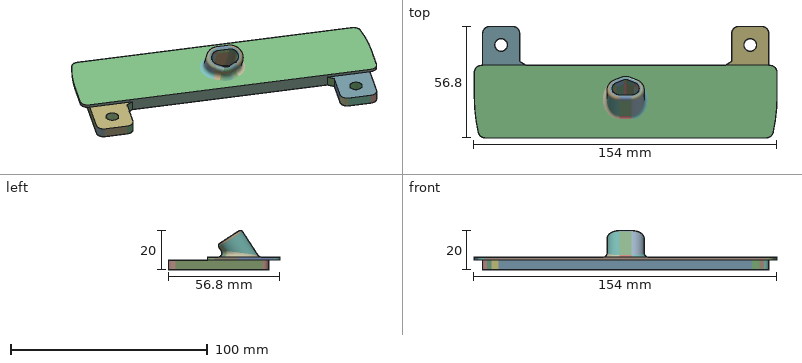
import cadquery as cq
import math

plate_length = 154.0
plate_depth = 37.0
plate_thickness = 1.5
plate_corner_radius = 3.75
side_curve_start = 21.0
side_curve_radius = 83.0

base_length = 145.6
base_thickness = 5.0
base_front_y = 5.5
end_step = 0.5
end_step_start = 8.4
end_step_stop = 4.7
base_corner_radius = 2.5
tab_width = 19.0
tab_end_y = 56.8
tab_corner_radius = 3.75
tab_hole_diameter = 6.3
tab_hole_setback = 9.5
gusset_width = 3.1
gusset_depth = 2.0

overall_height = 20.03
socket_tilt = 33.0
socket_y = 25.2
lobe_offset = 3.0
lobe_radius = 3.5
nose_offset = 3.1
nose_radius = 1.95
socket_wall = 3.0
flare_growth = 0.4
flare_depth = 3.5
rim_radius = 1.5
root_radius = 2.0

plate_top = base_thickness + plate_thickness
half_plate = plate_length / 2
half_base = base_length / 2
tilt = math.radians(socket_tilt)

rim_center_offset = lobe_radius + socket_wall - rim_radius
mouth_z = (overall_height - rim_radius - rim_center_offset * math.sin(tilt)
           + rim_radius * math.cos(tilt))
socket_length = 2 * mouth_z / math.cos(tilt)


def side_inset(y):
    """Distance that the curved plate end lies inside the straight end at y."""
    run = side_curve_start - y
    return side_curve_radius - math.sqrt(side_curve_radius ** 2 - run ** 2)


def make_plate():
    """Thin cover plate with bowed front ends and rounded corners."""
    front_x = half_plate - side_inset(0)
    middle_y = side_curve_start / 2
    middle_x = half_plate - side_inset(middle_y)
    outline = (
        cq.Workplane("XY", origin=(0, 0, base_thickness))
        .moveTo(-front_x, 0)
        .lineTo(front_x, 0)
        .threePointArc((middle_x, middle_y), (half_plate, side_curve_start))
        .lineTo(half_plate, plate_depth)
        .lineTo(-half_plate, plate_depth)
        .lineTo(-half_plate, side_curve_start)
        .threePointArc((-middle_x, middle_y), (-front_x, 0))
        .close()
    )
    plate = outline.extrude(plate_thickness)
    return plate.edges("|Z").edges("<Y or >Y").fillet(plate_corner_radius)


def make_base():
    """Base body with its stepped front ends and two drilled tabs."""
    step_y = base_front_y + end_step
    tab_inner_x = half_base - tab_width
    right_half = [
        (half_base - end_step_start, base_front_y),
        (half_base - end_step_stop, step_y),
        (half_base, step_y),
        (half_base, tab_end_y),
        (tab_inner_x, tab_end_y),
        (tab_inner_x, plate_depth + gusset_depth),
        (tab_inner_x - gusset_width, plate_depth),
    ]
    left_half = [(-x, y) for x, y in reversed(right_half)]
    base = cq.Workplane("XY").polyline(right_half + left_half).close().extrude(base_thickness)
    base = base.edges("|Z").edges(">Y").fillet(tab_corner_radius)
    end_corners = base.edges("|Z").edges("<X or >X").edges("<Y")
    base = end_corners.fillet(base_corner_radius)
    tab_center_x = half_base - tab_width / 2
    tab_center_y = tab_end_y - tab_hole_setback
    holes = (
        cq.Workplane("XY")
        .pushPoints([(-tab_center_x, tab_center_y), (tab_center_x, tab_center_y)])
        .circle(tab_hole_diameter / 2)
        .extrude(base_thickness)
    )
    return base.cut(holes)


def socket_outline(offset, depth=0):
    """Socket section grown by offset, drawn across the tilted axis at a depth below the mouth."""
    lobe = lobe_radius + offset
    nose = nose_radius + offset
    spacing = math.hypot(lobe_offset, nose_offset)
    slant = math.acos((lobe_radius - nose_radius) / spacing) - math.atan2(lobe_offset, nose_offset)
    sin_slant = math.sin(slant)
    cos_slant = math.cos(slant)
    lobe_tangent = (lobe_offset + lobe * sin_slant, lobe * cos_slant)
    nose_tangent = (nose * sin_slant, nose_offset + nose * cos_slant)
    mouth = cq.Plane(
        origin=(0, socket_y, mouth_z),
        xDir=(1, 0, 0),
        normal=(0, math.sin(tilt), math.cos(tilt)),
    )
    return (
        cq.Workplane(mouth)
        .workplane(offset=-depth)
        .moveTo(-lobe_offset, -lobe)
        .lineTo(lobe_offset, -lobe)
        .threePointArc((lobe_offset + lobe, 0), lobe_tangent)
        .lineTo(*nose_tangent)
        .threePointArc((0, nose_offset + nose), (-nose_tangent[0], nose_tangent[1]))
        .lineTo(-lobe_tangent[0], lobe_tangent[1])
        .threePointArc((-lobe_offset - lobe, 0), (-lobe_offset, -lobe))
        .close()
    )


def make_bore():
    """Through bore with a flared mouth."""
    bore = socket_outline(0).extrude(-socket_length)
    flare = cq.Solid.makeLoft(
        [socket_outline(flare_growth).val(), socket_outline(0, flare_depth).val()], True)
    return bore.union(cq.Workplane(flare))


def make_socket():
    """Solid socket body with a rounded rim, trimmed to stand on the plate."""
    body = socket_outline(socket_wall).extrude(-socket_length)
    body = body.faces(">Z").edges().fillet(rim_radius)
    keep = cq.Workplane("XY", origin=(0, 0, plate_top)).rect(
        plate_length, 2 * tab_end_y).extrude(overall_height)
    return body.intersect(keep)


def add_socket(body):
    """Join the socket to the plate, round its root and cut the bore."""
    body = body.union(make_socket())
    root_reach = lobe_offset + lobe_radius + socket_wall + root_radius
    pick_margin = plate_thickness / 10
    root = body.edges(cq.selectors.BoxSelector(
        (-root_reach, socket_y - root_reach, plate_top - pick_margin),
        (root_reach, socket_y + root_reach, plate_top + pick_margin)))
    body = body.newObject(root.vals()).fillet(root_radius)
    return body.cut(make_bore())


result = add_socket(make_base().union(make_plate()))